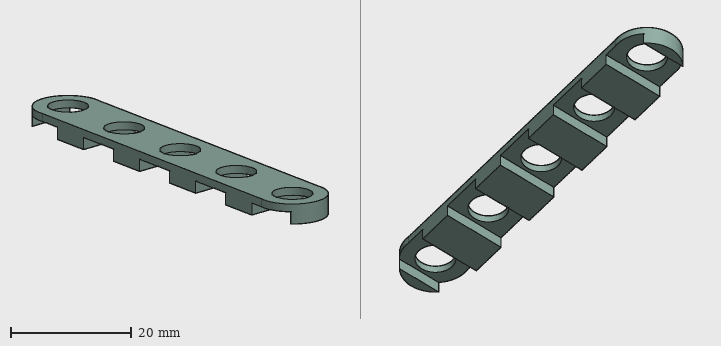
import cadquery as cq
import math

LENGTH = 73.1
WIDTH = 19.6
HEIGHT = 3.5

END_RADIUS = 6.0
PLATE_THICKNESS = 1.4
HOLE_DIAMETER = 6.8
HOLE_COUNT = 5
GROOVE_WIDTH = 8.1

END_X = LENGTH / 2 - END_RADIUS
END_Y = WIDTH / 2 - END_RADIUS
SLOPE_ANGLE = math.atan2(END_Y, END_X)

hole_centers = [
    (END_X * t, -END_Y * t)
    for t in (2 * i / (HOLE_COUNT - 1) - 1 for i in range(HOLE_COUNT))
]


def left_end_point(angle):
    """Point on the left end circle, with the angle measured from +X."""
    return (-END_X + END_RADIUS * math.cos(angle), END_Y + END_RADIUS * math.sin(angle))


def opposite(point):
    """Point turned half a revolution about the part center."""
    return (-point[0], -point[1])


def make_bar():
    """Sloping bar whose parallel sides are slightly inside the end tangents."""
    lower = left_end_point(-math.pi / 2)
    tip = left_end_point(math.pi)
    upper = left_end_point(math.pi / 2 - 2 * SLOPE_ANGLE)
    return (
        cq.Workplane("XY")
        .moveTo(*lower)
        .lineTo(*opposite(upper))
        .threePointArc(opposite(tip), opposite(lower))
        .lineTo(*upper)
        .threePointArc(tip, lower)
        .close()
        .extrude(HEIGHT)
    )


def make_holes():
    """Through holes spaced evenly along the bar."""
    return cq.Workplane("XY").pushPoints(hole_centers).circle(HOLE_DIAMETER / 2).extrude(HEIGHT)


def make_grooves():
    """Underside grooves along Y, one centered on each hole, leaving feet between them."""
    return (
        cq.Workplane("XY")
        .pushPoints([(x, 0) for x, _ in hole_centers])
        .rect(GROOVE_WIDTH, WIDTH)
        .extrude(HEIGHT - PLATE_THICKNESS)
    )


result = make_bar().cut(make_holes()).cut(make_grooves())